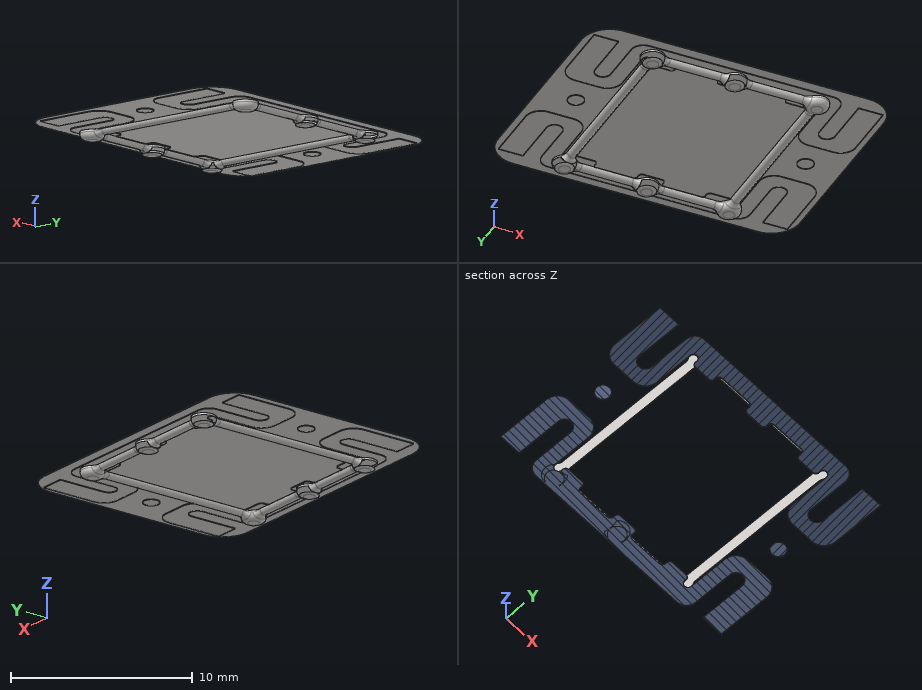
import cadquery as cq
import math

film_length = 18.5
film_width = 14.1
film_thickness = 0.05
film_corner_radius = 1.75

layer_thickness = 0.05
pad_radius = 0.48
pad_offset = 7.03

bar_outer_y = 6.42
bar_inner_y = 5.38
bar_corner_radius = 0.74
tab_inner_y = 4.81
tab_width = 1.55
tab_offset = 4.16
tab_corner_radius = 0.22
arm_inner_x = 5.44
slot_inner_x = 6.38
slot_outer_x = 7.35
slot_end_y = 2.59
arm_outer_x = 8.85
arm_end_y = 1.68
arm_tip_y = 6.07
arm_corner_radius = 0.92

total_height = 0.6
foot_radius = 0.7
foot_rounding = 0.37
ridge_radius = 0.3
frame_x = 5.03
frame_y = 5.59
blend_radius = 0.55

film_underside_z = -film_thickness
frame_top_z = film_underside_z - layer_thickness
foot_height = total_height + frame_top_z

shortest_line = 1.85e-07


def rounded_outline(corners):
    """Closed wire through (x, y, radius) corners, each rounded by a tangent arc."""
    outline = None
    last_point = None
    for i, (x, y, radius) in enumerate(corners):
        corner = cq.Vector(x, y)
        before = cq.Vector(*corners[i - 1][:2]) - corner
        after = cq.Vector(*corners[(i + 1) % len(corners)][:2]) - corner
        bisector = (before.normalized() + after.normalized()).normalized()
        half_angle = before.getAngle(after) / 2
        setback = radius / math.tan(half_angle)
        arc_start = corner + before.normalized() * setback
        arc_end = corner + after.normalized() * setback
        arc_middle = corner + bisector * (radius / math.sin(half_angle) - radius)
        if outline is None:
            outline = cq.Workplane("XY", origin=(0, 0, film_underside_z)).moveTo(*arc_start.toTuple()[:2])
        elif (arc_start - last_point).Length > shortest_line:
            outline = outline.lineTo(*arc_start.toTuple()[:2])
        if radius > 0:
            outline = outline.threePointArc(arc_middle.toTuple()[:2], arc_end.toTuple()[:2])
        last_point = arc_end
    return outline.close()


def make_trace(side):
    """Bar with three inner tabs and a hooked arm at each end; side is +1 or -1 along Y."""
    half_tab = tab_width / 2
    tab_end = tab_offset + half_tab
    gap_radius = (arm_inner_x - tab_end) / 2
    slot_radius = (slot_outer_x - slot_inner_x) / 2
    right_half = [
        (half_tab, tab_inner_y, tab_corner_radius),
        (half_tab, bar_inner_y, tab_corner_radius),
        (tab_offset - half_tab, bar_inner_y, tab_corner_radius),
        (tab_offset - half_tab, tab_inner_y, tab_corner_radius),
        (tab_end, tab_inner_y, tab_corner_radius),
        (tab_end, bar_inner_y, gap_radius),
        (arm_inner_x, bar_inner_y, gap_radius),
        (arm_inner_x, arm_end_y, arm_corner_radius),
        (arm_outer_x, arm_end_y, arm_corner_radius),
        (arm_outer_x, arm_tip_y, 0),
        (slot_outer_x, arm_tip_y, 0),
        (slot_outer_x, slot_end_y, slot_radius),
        (slot_inner_x, slot_end_y, slot_radius),
        (slot_inner_x, bar_outer_y, bar_corner_radius),
    ]
    left_half = [(-x, y, radius) for x, y, radius in reversed(right_half)]
    corners = [(x, side * y, radius) for x, y, radius in right_half + left_half]
    return rounded_outline(corners).extrude(-layer_thickness)


def make_pad(side):
    """Round pad near one short side of the film; side is +1 or -1 along X."""
    return (
        cq.Workplane("XY", origin=(side * pad_offset, 0, film_underside_z))
        .circle(pad_radius)
        .extrude(-layer_thickness)
    )


def make_foot(x, y):
    """Round foot hanging from the top plane of the frame, with a rounded lower rim."""
    return (
        cq.Workplane("XY", origin=(x, y, frame_top_z))
        .circle(foot_radius)
        .extrude(-foot_height)
        .faces("<Z")
        .edges()
        .fillet(foot_rounding)
    )


def make_ridges():
    """Rectangle of four half-round ridges, flat side up."""
    x_start = cq.Workplane("YZ", origin=(-frame_x, 0, frame_top_z))
    y_start = cq.Workplane("XZ", origin=(0, frame_y, frame_top_z))
    long_ridge = x_start.circle(ridge_radius).extrude(2 * frame_x)
    cross_ridge = y_start.circle(ridge_radius).extrude(2 * frame_y)
    ridges = cq.Workplane("XY")
    for side in (-1, 1):
        ridges = ridges.add(long_ridge.translate((0, side * frame_y, 0)))
        ridges = ridges.add(cross_ridge.translate((side * frame_x, 0, 0)))
    lower_half = (
        cq.Workplane("XY", origin=(0, 0, frame_top_z)).rect(film_length, film_width).extrude(-foot_height)
    )
    return ridges.combine().intersect(lower_half)


def make_frame():
    """Ridges and six feet in one piece, blended where a ridge runs into a foot."""
    frame = make_ridges()
    for x in (-frame_x, 0, frame_x):
        for y in (-frame_y, frame_y):
            frame = frame.union(make_foot(x, y))
    return frame.edges("%BSPLINE").fillet(blend_radius)


def make_film():
    """Thin sheet with rounded corners, its top at Z = 0."""
    return (
        cq.Workplane("XY")
        .rect(film_length, film_width)
        .extrude(-film_thickness)
        .edges("|Z")
        .fillet(film_corner_radius)
    )


film = make_film()
framed_trace = make_trace(-1).union(make_frame())
plain_trace = make_trace(1)
pads = [make_pad(side) for side in (-1, 1)]

result = cq.Compound.makeCompound(
    [film.val(), framed_trace.val(), plain_trace.val(), *[pad.val() for pad in pads]]
)